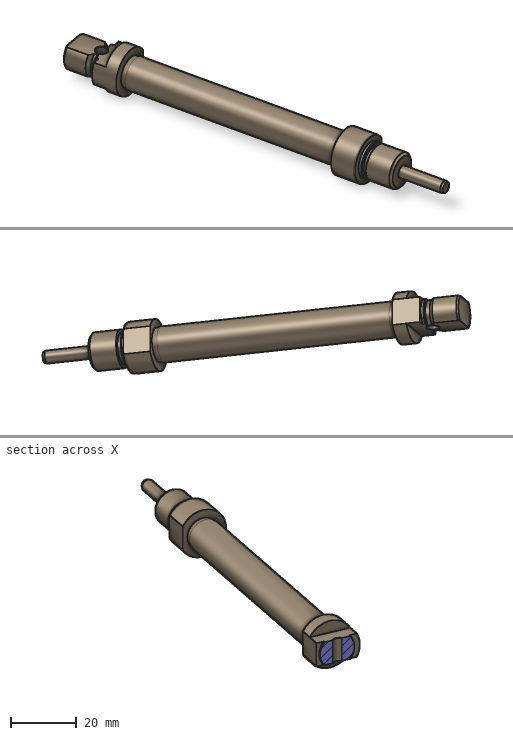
import cadquery as cq

total_length = 136.0
cap_radius = 8.0
cap_flat_offset = 7.0
nose_radius = 6.0
relief_diameter = 9.9
relief_radius = relief_diameter / 2
rim_length = 0.3
rim_depth = 0.1

rear_chamfer = 0.5
rear_nose_end = 8.3
rear_relief_start = 9.5
rear_relief_end = 10.9
rear_cap_start = 12.0
rear_step = 16.3
rear_cap_end = 20.8
tongue_thickness = 8.0
pivot_hole_x = 10.2
pivot_hole_diameter = 4.0
pivot_hole_chamfer = 0.1

tube_radius = 5.6
crimp_radius = 5.3
crimp_length = 1.6

front_cap_start = 99.3
front_cap_end = 108.0
cap_edge_length = 0.5
cap_edge_depth = 0.1
front_relief_start = 109.2
nose_wall_slope = 0.1
front_nose_start = 110.7
front_nose_end = 120.0
front_chamfer = 0.8

rod_radius = 2.0
rod_chamfer_length = 0.8
rod_chamfer_depth = 0.3


def turned(profile):
    """Solid of revolution about X from (x, radius) points; the profile is closed along the axis."""
    first_x = profile[0][0]
    last_x = profile[-1][0]
    outline = [(first_x, 0), *profile, (last_x, 0)]
    return cq.Workplane("XZ").polyline(outline).close().revolve(360, (0, 0, 0), (1, 0, 0))


def block(x_start, x_end, y_start, y_end, z_start, z_end):
    """Box spanning the given ranges."""
    size = (x_end - x_start, y_end - y_start, z_end - z_start)
    return cq.Workplane("XY").box(*size, centered=False).translate((x_start, y_start, z_start))


def cut_side_flat(cap):
    """Trim the +Y side of a cap to its flat."""
    return cap.cut(block(0, total_length, cap_flat_offset, cap_radius * 2, -cap_radius, cap_radius))


def pivot_hole_cutter():
    """Upright pivot hole through the tongue, with its edge broken on both tongue faces."""
    half_tongue = tongue_thickness / 2
    bore_radius = pivot_hole_diameter / 2
    mouth_radius = bore_radius + pivot_hole_chamfer
    bore_half_length = half_tongue - pivot_hole_chamfer
    outline = [
        (0, -half_tongue),
        (mouth_radius, -half_tongue),
        (bore_radius, -bore_half_length),
        (bore_radius, bore_half_length),
        (mouth_radius, half_tongue),
        (0, half_tongue),
    ]
    cutter = cq.Workplane("XZ").polyline(outline).close().revolve(360, (0, 0, 0), (0, 1, 0))
    return cutter.translate((pivot_hole_x, 0, 0))


def make_rear_cap():
    cap = turned([
        (0, nose_radius - rear_chamfer),
        (rear_chamfer, nose_radius),
        (rear_nose_end, nose_radius),
        (rear_relief_start, relief_radius),
        (rear_relief_end, relief_radius),
        (rear_relief_end, nose_radius - rim_depth),
        (rear_relief_end + rim_length, nose_radius),
        (rear_cap_start, nose_radius),
        (rear_cap_start, cap_radius),
        (rear_cap_end, cap_radius),
    ])
    cap = cut_side_flat(cap)
    half_tongue = tongue_thickness / 2
    reach = cap_radius * 2
    cap = cap.cut(block(0, rear_step, -reach, reach, half_tongue, reach))
    cap = cap.cut(block(0, rear_step, -reach, reach, -reach, -half_tongue))
    return cap.cut(pivot_hole_cutter())


def make_tube():
    return turned([
        (rear_cap_end, crimp_radius),
        (rear_cap_end + crimp_length, tube_radius),
        (front_cap_start - crimp_length, tube_radius),
        (front_cap_start, crimp_radius),
    ])


def make_front_cap():
    cap = turned([
        (front_cap_start, cap_radius),
        (front_cap_end - cap_edge_length, cap_radius),
        (front_cap_end, cap_radius - cap_edge_depth),
        (front_cap_end, nose_radius),
        (front_relief_start - rim_length, nose_radius),
        (front_relief_start, nose_radius - rim_depth),
        (front_relief_start, relief_radius),
        (front_nose_start - nose_wall_slope, relief_radius),
        (front_nose_start, nose_radius),
        (front_nose_end - front_chamfer, nose_radius),
        (front_nose_end, nose_radius - front_chamfer),
    ])
    return cut_side_flat(cap)


def make_piston_rod():
    return turned([
        (front_nose_end, rod_radius),
        (total_length - rod_chamfer_length, rod_radius),
        (total_length, rod_radius - rod_chamfer_depth),
    ])


rear_cap = make_rear_cap()
tube = make_tube()
front_cap = make_front_cap()
piston_rod = make_piston_rod()

result = cq.Compound.makeCompound([rear_cap.val(), tube.val(), front_cap.val(), piston_rod.val()])